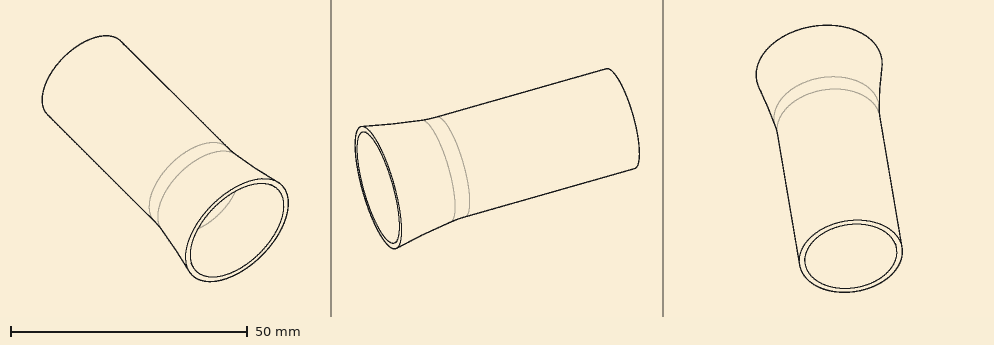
import cadquery as cq
import math

length = 55.0
tube_radius = 11.0
flare_diameter = 26.9
flare_radius = flare_diameter / 2
wall = 1.2
bend_start = 38.55
bend_end = 41.95
bend_angle = math.radians(7.5)
rim_angle = math.radians(12.0)


def flare_direction(angle):
    return (math.cos(angle), math.sin(angle))


def inward(point, angle):
    """Move a point of the outer profile through the wall to the bore."""
    return (point[0] + wall * math.sin(angle), point[1] - wall * math.cos(angle))


bend_radius = (bend_end - bend_start) / math.sin(bend_angle)


def bend_point(angle, radius):
    return (
        bend_start + radius * math.sin(angle),
        tube_radius + bend_radius - radius * math.cos(angle),
    )


outer_bend_end = bend_point(bend_angle, bend_radius)
outer_rim = (length, flare_radius)

bore_radius = tube_radius - wall
inner_bend_radius = bend_radius + wall
inner_bend_end = inward(outer_bend_end, bend_angle)
inner_rim = (length, flare_radius - wall / math.cos(rim_angle))

profile = (
    cq.Workplane("XZ")
    .moveTo(0, bore_radius)
    .lineTo(0, tube_radius)
    .lineTo(bend_start, tube_radius)
    .threePointArc(bend_point(bend_angle / 2, bend_radius), outer_bend_end)
    .spline(
        [outer_rim],
        tangents=[flare_direction(bend_angle), flare_direction(rim_angle)],
        includeCurrent=True,
    )
    .lineTo(*inner_rim)
    .spline(
        [inner_bend_end],
        tangents=[flare_direction(rim_angle + math.pi), flare_direction(bend_angle + math.pi)],
        includeCurrent=True,
    )
    .threePointArc(bend_point(bend_angle / 2, inner_bend_radius), (bend_start, bore_radius))
    .close()
)

result = profile.revolve(360, (0, 0, 0), (1, 0, 0))